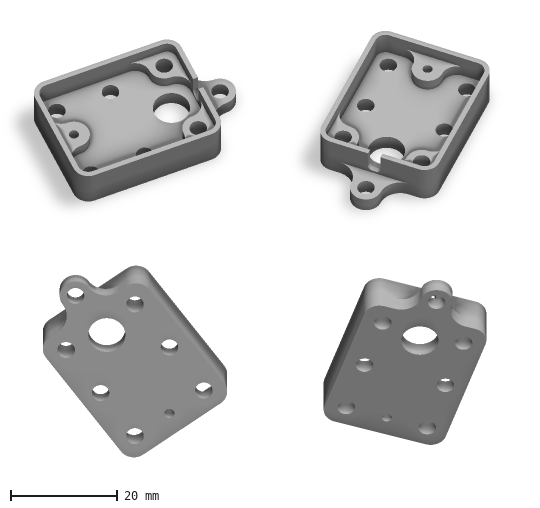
import cadquery as cq
import math

overall_length = 37.0
body_width = 24.0
body_length = 30.0
body_height = 8.0
wall = 1.0
corner_radius = 3.0
floor_height = 3.1
pad_height = 2.4
ear_thickness = 3.0
lobe_radius = 3.0
hole_inset = 4.0
screw_diameter = 3.3
pin_diameter = 1.9
port_diameter = 7.0
port_inset = 6.0
notch_width = 2.5
notch_bottom = 3.5
notch_corner_radius = 1.0

hole_x = body_width / 2 - hole_inset
hole_rows = (hole_inset, body_length / 2, body_length - hole_inset)
cavity_half_width = body_width / 2 - wall
cavity_back = body_length - wall
ear_y = overall_length - lobe_radius
pad_top = floor_height + pad_height
diagonal = math.sqrt(0.5)


def rounded_block(width, length, height, radius):
    """Upright block with rounded vertical edges, resting on Z = 0."""
    return (
        cq.Workplane("XY")
        .center(0, body_length / 2)
        .rect(width, length)
        .extrude(height)
        .edges("|Z")
        .fillet(radius)
    )


def blended_lobe(center_y, base_y, root_y, height):
    """Round lobe flaring tangentially into the wall face at base_y; its root is buried at root_y."""
    outward = math.copysign(1, center_y - base_y)
    blend = abs(center_y - base_y)
    foot_x = lobe_radius + blend
    mid_x = foot_x - blend * diagonal
    mid_y = center_y - outward * blend * diagonal
    return (
        cq.Workplane("XY")
        .moveTo(-foot_x, root_y)
        .lineTo(-foot_x, base_y)
        .threePointArc((-mid_x, mid_y), (-lobe_radius, center_y))
        .threePointArc((0, center_y + outward * lobe_radius), (lobe_radius, center_y))
        .threePointArc((mid_x, mid_y), (foot_x, base_y))
        .lineTo(foot_x, root_y)
        .close()
        .extrude(height)
    )


def corner_pad():
    """Raised pad in the back right cavity corner, rounded about the screw hole and blended into both walls."""
    x, y = hole_x, hole_rows[-1]
    blend_y = cavity_back - y
    blend_x = cavity_half_width - x
    return (
        cq.Workplane("XY")
        .moveTo(cavity_half_width, cavity_back)
        .lineTo(x - lobe_radius - blend_y, cavity_back)
        .threePointArc(
            (x - lobe_radius - blend_y * (1 - diagonal), y + blend_y * diagonal),
            (x - lobe_radius, y),
        )
        .threePointArc((x - lobe_radius * diagonal, y - lobe_radius * diagonal), (x, y - lobe_radius))
        .threePointArc(
            (x + blend_x * diagonal, y - lobe_radius - blend_x * (1 - diagonal)),
            (cavity_half_width, y - lobe_radius - blend_x),
        )
        .close()
        .extrude(pad_top)
    )


def through_holes(points, diameter):
    return cq.Workplane("XY").pushPoints(points).circle(diameter / 2).extrude(body_height)


def wall_notch():
    """Slot with rounded bottom corners, open at the top, through the back wall."""
    depth = body_height - notch_bottom
    return (
        cq.Workplane("XY", origin=(0, body_length - wall / 2, notch_bottom))
        .rect(notch_width, wall)
        .extrude(depth)
        .edges("|Y and <Z")
        .fillet(notch_corner_radius)
    )


cavity = rounded_block(
    2 * cavity_half_width, body_length - 2 * wall, body_height, corner_radius - wall
).translate((0, 0, floor_height))
tray = rounded_block(body_width, body_length, body_height, corner_radius).cut(cavity)

pad = corner_pad()
tray = tray.union(pad).union(pad.mirror("YZ"))
tray = tray.union(blended_lobe(hole_inset, wall, wall / 2, pad_top))
tray = tray.union(blended_lobe(ear_y, body_length, body_length - wall / 2, ear_thickness))

screw_points = [(side * hole_x, y) for side in (-1, 1) for y in hole_rows]
screw_points.append((0, ear_y))
tray = tray.cut(through_holes(screw_points, screw_diameter))
tray = tray.cut(through_holes([(0, hole_inset)], pin_diameter))
tray = tray.cut(through_holes([(0, body_length - port_inset)], port_diameter))
result = tray.cut(wall_notch())